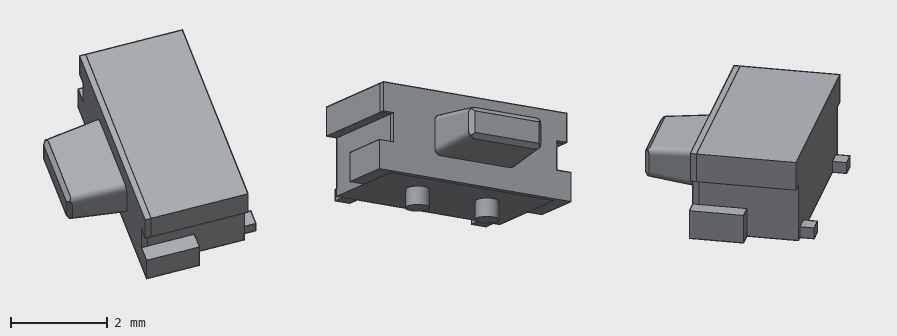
import cadquery as cq


overall_width = 4.7
upper_width = 4.5
waist_width = 4.0
body_height = 1.9
body_depth = 2.245
upper_height = body_height / 3

cover_thickness = 0.13
lug_length = 1.15
lug_height = body_height / 3
lug_thickness = (overall_width - waist_width) / 2

peg_diameter = 0.5
peg_length = 0.4
peg_offset_x = 0.85
peg_y = lug_length - peg_diameter / 2

terminal_width = 0.352
terminal_length = 0.3
terminal_height = 0.25
terminal_offset_x = 1.67

button_width = 1.98
button_height = 0.885
button_length = 1.255
button_draft = 5.0
button_tip_chamfer = 0.1
button_corner_radius = 0.15


def block(width, depth, height, x_center, y_front, z_bottom):
    """Box placed by its X centre, front face and bottom face."""
    return cq.Workplane("XY").box(width, depth, height, centered=(True, False, False)).translate(
        (x_center, y_front, z_bottom)
    )


def t_section(depth, y_front):
    """Narrow waist down to the board plane, with a wider upper part."""
    waist = block(waist_width, depth, body_height, 0, y_front, 0)
    upper = block(upper_width, depth, upper_height, 0, y_front, body_height - upper_height)
    return waist.union(upper)


def make_housing():
    housing = t_section(body_depth - cover_thickness, cover_thickness)
    for side in (-1, 1):
        peg = (
            cq.Workplane("XY")
            .center(side * peg_offset_x, peg_y)
            .circle(peg_diameter / 2)
            .extrude(-peg_length)
        )
        housing = housing.union(peg)
    return housing


def make_cover():
    cover = t_section(cover_thickness, 0)
    for side in (-1, 1):
        lug_x = side * (waist_width + lug_thickness) / 2
        lug = block(lug_thickness, lug_length, lug_height, lug_x, 0, 0)
        cover = cover.union(lug)
    return cover


def make_button():
    button = (
        cq.Workplane("XZ", origin=(0, 0, body_height / 2))
        .rect(button_width, button_height)
        .extrude(button_length, taper=button_draft)
    )
    button = button.faces("<Y").chamfer(button_tip_chamfer)
    middle_zone = cq.selectors.BoxSelector(
        (-button_width, -button_length * 2 / 3, 0),
        (button_width, -button_length / 3, body_height),
    )
    return button.edges(middle_zone).fillet(button_corner_radius)


def make_terminal(side):
    return block(terminal_width, terminal_length, terminal_height, side * terminal_offset_x, body_depth, 0)


housing = make_housing()
cover = make_cover()
button = make_button()
terminals = [make_terminal(side) for side in (-1, 1)]

result = cq.Compound.makeCompound(
    [housing.val(), cover.val(), button.val(), *[terminal.val() for terminal in terminals]]
)